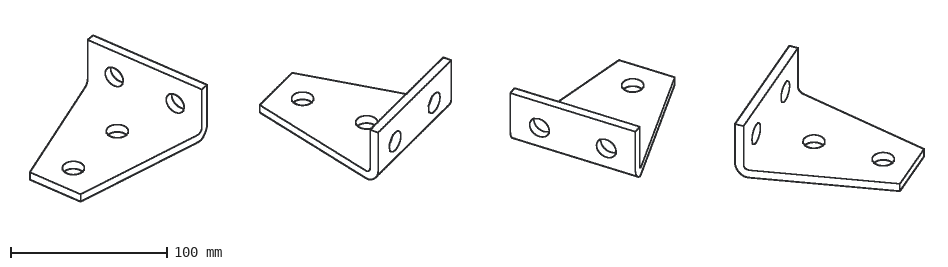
import cadquery as cq

width = 90.0
depth = 104.0
height = 41.0

thickness = 6.0
inner_radius = 4.0
outer_radius = inner_radius + thickness
tip_width = 40.0

hole_diameter = 14.0
hole_spacing = 48.0
wall_hole_height = 20.4
base_hole_setback = 36.0

back_y = depth / 2
front_y = -depth / 2
wall_front_y = back_y - thickness


def bent_plate():
    """L-shaped plate with a rounded bend, extruded across the full width."""
    profile = (
        cq.Workplane("YZ")
        .moveTo(front_y, 0)
        .lineTo(back_y, 0)
        .lineTo(back_y, height)
        .lineTo(wall_front_y, height)
        .lineTo(wall_front_y, thickness)
        .lineTo(front_y, thickness)
        .close()
        .extrude(width / 2, both=True)
    )
    inner_corner = cq.selectors.NearestToPointSelector((0, wall_front_y, thickness))
    outer_corner = cq.selectors.NearestToPointSelector((0, back_y, 0))
    return profile.edges(inner_corner).fillet(inner_radius).edges(outer_corner).fillet(outer_radius)


def tapered_outline():
    """Full width through the wall, then narrowing to the front tip."""
    return (
        cq.Workplane("XY")
        .polyline([
            (-width / 2, back_y),
            (width / 2, back_y),
            (width / 2, wall_front_y),
            (tip_width / 2, front_y),
            (-tip_width / 2, front_y),
            (-width / 2, wall_front_y),
        ])
        .close()
        .extrude(height)
    )


def base_holes():
    """Two holes through the base, in line along the centre."""
    first_y = back_y - base_hole_setback
    return (
        cq.Workplane("XY")
        .pushPoints([(0, first_y), (0, first_y - hole_spacing)])
        .circle(hole_diameter / 2)
        .extrude(thickness)
    )


def wall_holes():
    """Two holes through the wall, side by side."""
    return (
        cq.Workplane("XZ", origin=(0, back_y, 0))
        .pushPoints([(side * hole_spacing / 2, wall_hole_height) for side in (-1, 1)])
        .circle(hole_diameter / 2)
        .extrude(thickness)
    )


result = bent_plate().intersect(tapered_outline()).cut(base_holes()).cut(wall_holes())